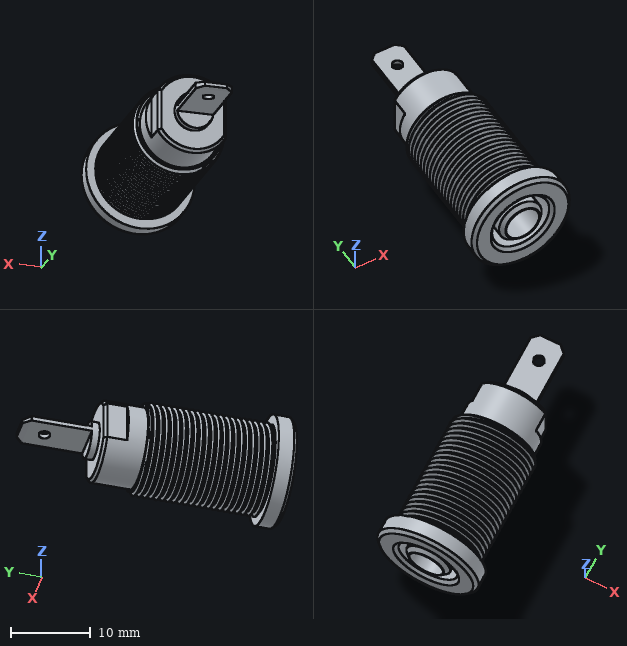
import cadquery as cq
import math


FLANGE_DIAMETER = 14.3
FLANGE_LENGTH = 2.5
FLANGE_CHAMFER = 0.5

THREAD_MAJOR = 12.0
THREAD_PITCH = 0.75
THREAD_FLANK_ANGLE = 30.0
THREAD_DEPTH = 0.5
THREAD_END = 19.0
THREAD_CHAMFER = 0.35
THREAD_CREST_FLAT = 0.03
GROOVE_OVERSHOOT = 0.05
GROOVE_START = 0.785

BODY_DIAMETER = 10.5
BODY_END = 24.5
BODY_CHAMFER = 0.4
FLAT_START = 21.5
FLAT_WIDTH = 9.0

BOSS_DIAMETER = 4.8
BOSS_START = 24.0
BOSS_END = 25.5
TAB_END = 34.29
TAB_THICKNESS = 0.75
TAB_TIP_THICKNESS = 0.55
TAB_TIP_LENGTH = 0.95
TAB_HOLE_DIAMETER = 1.4
TAB_HOLE_POSITION = 31.05

RECESS_DIAMETER = 8.3
RECESS_CHAMFER = 0.5
RECESS_FLOOR = 18.0

TUBE_DIAMETER = 6.2
TUBE_MOUTH_DIAMETER = 5.0
TUBE_CHAMFER_LENGTH = (TUBE_DIAMETER - TUBE_MOUTH_DIAMETER) / 2
BORE_DIAMETER = 4.8
BORE_FLOOR_DIAMETER = 4.05
BORE_FLOOR = 23.5
SLOT_DEPTH = 1.0


def cylinder(diameter, start, end):
    return cq.Workplane("XY").workplane(offset=start).circle(diameter / 2).extrude(end - start)


def make_flange():
    return cylinder(FLANGE_DIAMETER, 0, FLANGE_LENGTH).faces("<Z").chamfer(FLANGE_CHAMFER)


def helix_edge(radius, start, turns):
    helix = cq.Wire.makeHelix(THREAD_PITCH, turns * THREAD_PITCH, radius)
    return helix.translate(cq.Vector(0, 0, start)).Edges()[0]


def helical_solid(profile, start, turns):
    """Right-hand helical solid from a convex list of (radius, axial offset) corners."""
    faces = []
    for corner, next_corner in zip(profile, profile[1:] + profile[:1]):
        edges = [helix_edge(radius, start + offset, turns) for radius, offset in (corner, next_corner)]
        faces.append(cq.Face.makeRuledSurface(*edges))
    for height in (start, start + turns * THREAD_PITCH):
        corners = [cq.Vector(radius, 0, height + offset) for radius, offset in profile]
        faces.append(cq.Face.makeFromWires(cq.Wire.makePolygon(corners, close=True)))
    return cq.Solid.makeSolid(cq.Shell.makeShell(faces))


def make_thread():
    """Chamfered barrel with a V groove cut along it, running out past both ends."""
    barrel = cylinder(THREAD_MAJOR, FLANGE_LENGTH, THREAD_END).faces(">Z").chamfer(THREAD_CHAMFER)
    barrel = barrel.rotate((0, 0, 0), (0, 0, 1), 180)

    flank_slope = math.tan(math.radians(THREAD_FLANK_ANGLE))
    crest_half_width = (THREAD_PITCH - THREAD_CREST_FLAT) / 2
    root_half_width = crest_half_width - THREAD_DEPTH * flank_slope
    outer_half_width = crest_half_width + GROOVE_OVERSHOOT * flank_slope
    root_radius = THREAD_MAJOR / 2 - THREAD_DEPTH
    outer_radius = THREAD_MAJOR / 2 + GROOVE_OVERSHOOT
    groove_profile = [
        (root_radius, -root_half_width),
        (root_radius, root_half_width),
        (outer_radius, outer_half_width),
        (outer_radius, -outer_half_width),
    ]
    turns = math.ceil((THREAD_END - GROOVE_START) / THREAD_PITCH)
    return barrel.cut(cq.Workplane(helical_solid(groove_profile, GROOVE_START, turns)))


def make_body():
    body = cylinder(BODY_DIAMETER, FLANGE_LENGTH, BODY_END)
    flat_length = BODY_END - FLAT_START
    between_flats = (
        cq.Workplane("XY")
        .workplane(offset=FLAT_START)
        .rect(FLAT_WIDTH, BODY_DIAMETER)
        .extrude(flat_length)
    )
    outside_flats = cylinder(BODY_DIAMETER, FLAT_START, BODY_END).cut(between_flats)
    return body.cut(outside_flats).faces(">Z").chamfer(BODY_CHAMFER)


def make_boss_and_tab():
    """Round boss milled down to a flat blade with a tapered, corner-cut tip and a cross hole."""
    radius = BOSS_DIAMETER / 2
    shoulder = TAB_END - TAB_TIP_LENGTH
    half_thickness = TAB_THICKNESS / 2
    half_tip = TAB_TIP_THICKNESS / 2
    tip_half_width = radius - TAB_TIP_LENGTH
    side_profile = (
        cq.Workplane("YZ")
        .polyline([
            (-radius, BOSS_START),
            (radius, BOSS_START),
            (radius, BOSS_END),
            (half_thickness, BOSS_END),
            (half_thickness, shoulder),
            (half_tip, TAB_END),
            (-half_tip, TAB_END),
            (-half_thickness, shoulder),
            (-half_thickness, BOSS_END),
            (-radius, BOSS_END),
        ])
        .close()
        .extrude(radius, both=True)
    )
    plan_profile = (
        cq.Workplane("XZ")
        .polyline([
            (-radius, BOSS_START),
            (radius, BOSS_START),
            (radius, shoulder),
            (tip_half_width, TAB_END),
            (-tip_half_width, TAB_END),
            (-radius, shoulder),
        ])
        .close()
        .extrude(radius, both=True)
    )
    hole = (
        cq.Workplane("XZ")
        .center(0, TAB_HOLE_POSITION)
        .circle(TAB_HOLE_DIAMETER / 2)
        .extrude(TAB_THICKNESS, both=True)
    )
    rod = cylinder(BOSS_DIAMETER, BOSS_START, TAB_END)
    return rod.intersect(side_profile).intersect(plan_profile).cut(hole)


def make_recess():
    """Ring-shaped void with a chamfered mouth that leaves the contact tube standing."""
    recess_radius = RECESS_DIAMETER / 2
    tube_radius = TUBE_DIAMETER / 2
    return (
        cq.Workplane("XZ")
        .moveTo(recess_radius + RECESS_CHAMFER, 0)
        .lineTo(recess_radius, RECESS_CHAMFER)
        .lineTo(recess_radius, RECESS_FLOOR)
        .lineTo(tube_radius, RECESS_FLOOR)
        .lineTo(tube_radius, TUBE_CHAMFER_LENGTH)
        .lineTo(TUBE_MOUTH_DIAMETER / 2, 0)
        .close()
        .revolve(360, (0, 0, 0), (0, 1, 0))
    )


def make_bore():
    """Blind contact bore, narrowing by a 45 degree cone onto a slotted floor."""
    cone_length = (BORE_DIAMETER - BORE_FLOOR_DIAMETER) / 2
    bore = cylinder(BORE_DIAMETER, 0, BORE_FLOOR).faces(">Z").chamfer(cone_length)
    slot = (
        cq.Workplane("XY")
        .workplane(offset=BORE_FLOOR)
        .rect(BORE_FLOOR_DIAMETER, TAB_THICKNESS)
        .extrude(SLOT_DEPTH)
        .intersect(cylinder(BORE_FLOOR_DIAMETER, BORE_FLOOR, BORE_FLOOR + SLOT_DEPTH))
    )
    return bore.union(slot)


socket = make_thread().union(make_flange()).union(make_body()).union(make_boss_and_tab())
socket = socket.cut(make_recess()).cut(make_bore())

result = socket.rotate((0, 0, 0), (1, 0, 0), -90)